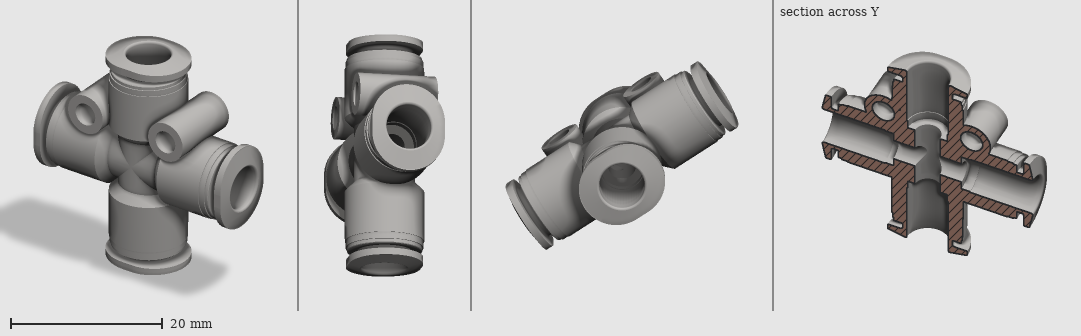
import cadquery as cq

port_reach = 15.5
port_angles = (0, 90, 180, 270)

waist_radius = 4.03
flare_start = 3.78
body_radius = 10.5 / 2
flare_end = flare_start + body_radius - waist_radius
step_radius = 10.3 / 2
step_start = 11.75
lip_radius = 9.98 / 2
lip_start = 12.62
lip_end = 13.15
lip_chamfer = 0.1

neck_radius = 7.4 / 2
neck_fillet = 0.28
flange_length = 11.72
flange_width = 9.8
flange_start = 14.1
flange_land = 15.0
cone_radius = 5.75

socket_radius = 6.0 / 2
seat_radius = 5.8 / 2
seat_depth = 1.25
socket_bottom = flare_end
mouth_fillet = 0.3
vertical_bore_radius = 3.7 / 2
horizontal_bore_radius = 3.3 / 2

lug_radius = 5.6 / 2
lug_hole_radius = 3.2 / 2
lug_offset = 6.48
lug_length = 2 * body_radius


def y_cylinder(radius, length, x, z):
    """Cylinder along Y, centred on the XZ plane."""
    return cq.Workplane("XZ", origin=(x, length / 2, z)).circle(radius).extrude(length)


def make_arm():
    """Turned body and neck of the upward arm, starting at the centre of the cross."""
    return (
        cq.Workplane("XZ")
        .lineTo(waist_radius, 0)
        .lineTo(waist_radius, flare_start)
        .lineTo(body_radius, flare_end)
        .lineTo(body_radius, step_start)
        .lineTo(step_radius, step_start)
        .lineTo(step_radius, lip_start)
        .lineTo(lip_radius, lip_start)
        .lineTo(lip_radius, lip_end - lip_chamfer)
        .lineTo(lip_radius - lip_chamfer, lip_end)
        .lineTo(neck_radius, lip_end)
        .lineTo(neck_radius, flange_start - neck_fillet)
        .radiusArc((neck_radius + neck_fillet, flange_start), neck_fillet)
        .lineTo(0, flange_start)
        .close()
        .revolve(360, (0, 0), (0, 1))
    )


def make_flange():
    """Slot-shaped plate trimmed by a cone that falls from the mouth to a flat land at each end."""
    mouth_radius = socket_radius + mouth_fillet
    plate = (
        cq.Workplane("XY", origin=(0, 0, flange_start))
        .slot2D(flange_length, flange_width)
        .extrude(port_reach - flange_start)
    )
    cone = (
        cq.Workplane("XZ")
        .moveTo(0, flange_start)
        .lineTo(flange_length / 2, flange_start)
        .lineTo(flange_length / 2, flange_land)
        .lineTo(cone_radius, flange_land)
        .lineTo(mouth_radius, port_reach)
        .lineTo(0, port_reach)
        .close()
        .revolve(360, (0, 0), (0, 1))
    )
    return plate.intersect(cone)


def make_socket():
    """Tube socket to be removed, with a rounded mouth and a narrower seat at its bottom."""
    seat_top = socket_bottom + seat_depth
    return (
        cq.Workplane("XZ")
        .moveTo(0, socket_bottom)
        .lineTo(seat_radius, socket_bottom)
        .lineTo(seat_radius, seat_top)
        .lineTo(socket_radius, seat_top)
        .lineTo(socket_radius, port_reach - mouth_fillet)
        .radiusArc((socket_radius + mouth_fillet, port_reach), mouth_fillet)
        .lineTo(0, port_reach)
        .close()
        .revolve(360, (0, 0), (0, 1))
    )


def turn(shape, angle):
    """Swing an upward shape about Y to another port."""
    return shape.rotate((0, 0, 0), (0, 1, 0), angle)


port = make_arm().union(make_flange())
result = turn(port, port_angles[0])
for angle in port_angles[1:]:
    result = result.union(turn(port, angle))
for side in (-1, 1):
    result = result.union(y_cylinder(lug_radius, lug_length, side * lug_offset, lug_offset))

for side in (-1, 1):
    result = result.cut(y_cylinder(lug_hole_radius, lug_length, side * lug_offset, lug_offset))
socket = make_socket()
for angle in port_angles:
    result = result.cut(turn(socket, angle))
result = result.cut(cq.Workplane("XY").circle(vertical_bore_radius).extrude(port_reach, both=True))
result = result.cut(cq.Workplane("YZ").circle(horizontal_bore_radius).extrude(port_reach, both=True))